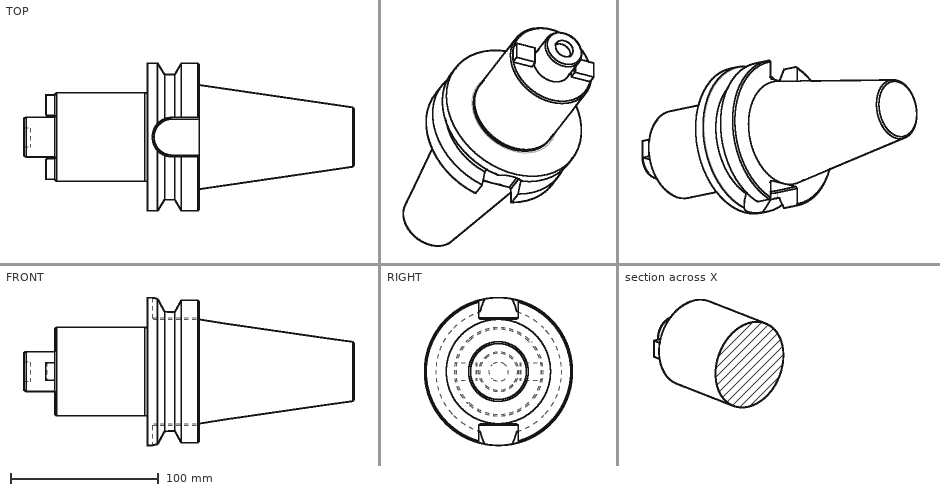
import cadquery as cq
import math

TOTAL_LENGTH = 223.3
SPIGOT_LENGTH = 21.0
FLANGE_START = 83.5
FLANGE_WIDTH = 35.0
FLANGE_END = FLANGE_START + FLANGE_WIDTH

SPIGOT_RADIUS = 27.0 / 2
SPIGOT_CHAMFER_LENGTH = 1.5
SPIGOT_CHAMFER_DEPTH = 1.0
BODY_RADIUS = 60.0 / 2
BODY_CHAMFER = 1.1
BORE_DIAMETER = 13.0
BORE_DEPTH = 4.5

UNDERCUT_RADIUS = 59.8 / 2
UNDERCUT_WIDTH = 1.8
UNDERCUT_FACE_RADIUS = 31.3
UNDERCUT_FACE_DEPTH = 0.2

FLANGE_RADIUS = 100.0 / 2
FLANGE_CHAMFER = 1.1
GROOVE_FLOOR_RADIUS = 42.5
GROOVE_FLOOR_START = FLANGE_START + 11.5
GROOVE_FLOOR_WIDTH = 7.0
GROOVE_FLOOR_END = GROOVE_FLOOR_START + GROOVE_FLOOR_WIDTH
GROOVE_RIM_BREAK = 0.5
GROOVE_SIDE_RUN = (FLANGE_RADIUS - GROOVE_FLOOR_RADIUS) * math.tan(math.radians(30))

TAPER_RADIUS = 35.3
TAPER_SLOPE = 7 / 48
TAPER_END_RADIUS = TAPER_RADIUS - (TOTAL_LENGTH - FLANGE_END) * TAPER_SLOPE
TAPER_CHAMFER = 1.1

SLOT_WIDTH = 26.5
SLOT_START = FLANGE_START + 3.3
SLOT_FLOOR_HEIGHT = 35.3
SLOT_FLOOR_CHAMFER = 1.1

KEY_LENGTH = 6.0
KEY_WIDTH = 11.5
KEY_INNER = 14.5
KEY_OUTER = 28.5
KEY_CHAMFER = 0.7


def turned_body():
    """Revolve the complete outside profile about the X axis."""
    profile = [
        (0, 0),
        (0, SPIGOT_RADIUS - SPIGOT_CHAMFER_DEPTH),
        (SPIGOT_CHAMFER_LENGTH, SPIGOT_RADIUS),
        (SPIGOT_LENGTH, SPIGOT_RADIUS),
        (SPIGOT_LENGTH, BODY_RADIUS - BODY_CHAMFER),
        (SPIGOT_LENGTH + BODY_CHAMFER, BODY_RADIUS),
        (FLANGE_START - UNDERCUT_WIDTH, BODY_RADIUS),
        (FLANGE_START - UNDERCUT_WIDTH, UNDERCUT_RADIUS),
        (FLANGE_START + UNDERCUT_FACE_DEPTH, UNDERCUT_RADIUS),
        (FLANGE_START, UNDERCUT_FACE_RADIUS),
        (FLANGE_START, FLANGE_RADIUS),
        (GROOVE_FLOOR_START - GROOVE_SIDE_RUN - GROOVE_RIM_BREAK, FLANGE_RADIUS),
        (GROOVE_FLOOR_START - GROOVE_SIDE_RUN, FLANGE_RADIUS - GROOVE_RIM_BREAK),
        (GROOVE_FLOOR_START, GROOVE_FLOOR_RADIUS),
        (GROOVE_FLOOR_END, GROOVE_FLOOR_RADIUS),
        (GROOVE_FLOOR_END + GROOVE_SIDE_RUN, FLANGE_RADIUS),
        (FLANGE_END - FLANGE_CHAMFER, FLANGE_RADIUS),
        (FLANGE_END, FLANGE_RADIUS - FLANGE_CHAMFER),
        (FLANGE_END, TAPER_RADIUS),
        (TOTAL_LENGTH - TAPER_CHAMFER, TAPER_END_RADIUS + TAPER_CHAMFER * TAPER_SLOPE),
        (TOTAL_LENGTH, TAPER_END_RADIUS - TAPER_CHAMFER),
        (TOTAL_LENGTH, 0),
    ]
    return cq.Workplane("XY").polyline(profile).close().revolve(360, (0, 0, 0), (1, 0, 0))


def drive_slot():
    """Cutter for the upper slot: round inner end, flat floor, chamfered floor edge."""
    half_width = SLOT_WIDTH / 2
    center_x = SLOT_START + half_width
    return (
        cq.Workplane("XY", origin=(0, 0, SLOT_FLOOR_HEIGHT))
        .moveTo(FLANGE_END, -half_width)
        .lineTo(center_x, -half_width)
        .threePointArc((SLOT_START, 0), (center_x, half_width))
        .lineTo(FLANGE_END, half_width)
        .close()
        .extrude(FLANGE_RADIUS - SLOT_FLOOR_HEIGHT)
        .faces("<Z")
        .edges("not >X")
        .chamfer(SLOT_FLOOR_CHAMFER)
    )


def drive_key():
    """Key on the +Y side of the body face, with its inner front edge chamfered."""
    return (
        cq.Workplane("XY")
        .box(KEY_LENGTH, KEY_OUTER - KEY_INNER, KEY_WIDTH, centered=(False, False, True))
        .edges("<X and <Y")
        .chamfer(KEY_CHAMFER)
        .translate((SPIGOT_LENGTH - KEY_LENGTH, KEY_INNER, 0))
    )


def spigot_bore():
    return cq.Workplane("YZ").circle(BORE_DIAMETER / 2).extrude(BORE_DEPTH)


result = turned_body().cut(spigot_bore())
for angle in (0, 180):
    result = result.cut(drive_slot().rotate((0, 0, 0), (1, 0, 0), angle))
    result = result.union(drive_key().rotate((0, 0, 0), (1, 0, 0), angle))